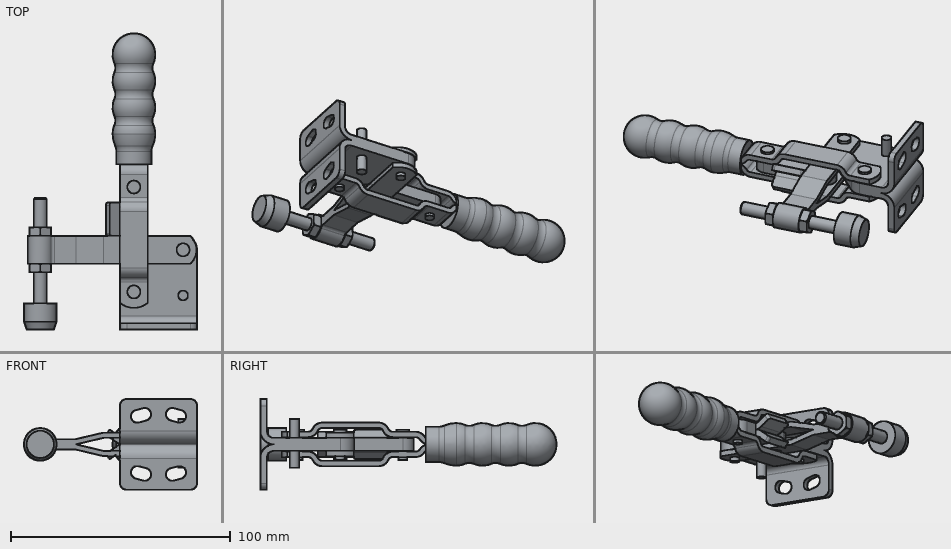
import cadquery as cq
import math


overall_length = 134.9
overall_width = 79.0
overall_height = 41.4

base_thickness = 3.0
handle_thickness = 2.5
arm_thickness = 2.4
handle_width = 12.8
arm_width = 12.7

base_pivot = (0.0, 17.1)
arm_pivot = (22.4, 36.3)
stop_pin_place = (arm_pivot[0], 15.5)
grip_joint = (0.0, 64.9)
arm_joint = (0.0, arm_pivot[1])

shank_diameter = 4.2
head_diameter = 6.0
head_top = 6.7
tail_length = 7.2
stop_pin_diameter = 4.5
stop_pin_low = -10.7
stop_pin_high = 11.6

hub_radius = handle_width / 2
base_left = -hub_radius
base_right = arm_pivot[0] + hub_radius
base_bend_radius = 6.2
flange_corner_radius = 3.1
slot_spacing = 15.9
slot_middle = 11.2
slot_height = 13.2
slot_width = 5.7
slot_travel = 3.5
slot_tilt = 15.0

handle_inner_low = 3.2
handle_inner_high = 7.4
handle_bend_radius = 2.3
handle_tip = 9.8
handle_tip_rise = 2.4
lower_bend_start = 21.7
upper_bend_start = 53.8
tang_bend_start = 70.7
tang_end = 89.0

grip_diameter = 19.5
grip_radius = grip_diameter / 2
grip_neck_fillet = 5.0
grip_bulb_spacing = 12.0
grip_bulb_count = 4
grip_collar_radius = 8.1
grip_collar_length = 6.1
grip_base_bulb_radius = 13.1
grip_collar_fillet = 6.0

arm_inner = base_thickness
arm_outer = arm_inner + arm_thickness
arm_split_start = -26.5
arm_split_end = -13.9
arm_tip = 28.5
arm_tip_rise = 2.7
eye_radius = 5.8
eye_fillet = 2.0

link_radius = 5.0
wing_root = -4.7
wing_angle = 35.0
wing_straight = 5.7
wing_low = arm_joint[1] + arm_width / 2
wing_high = 57.9
wing_bend_radius = 6.0
wing_corner_radius = 1.2

spindle_diameter = 6.0
spindle_top = 59.9
spindle_chamfer = 0.5
nut_across_flats = 10.0
nut_thickness = 3.9
nut_chamfer = 0.4
pad_diameter = 15.0
pad_face_diameter = 12.4
pad_height = 11.9
pad_taper_height = 3.6
spindle_x = base_right - overall_width + pad_diameter / 2


def both_halves(half):
    """Join a body half with its mirror image across Z = 0."""
    return half.union(half.mirror("XY"))


def cylinder(place, diameter, low, high):
    """Cylinder along Z between two heights."""
    return cq.Workplane("XY", origin=(*place, low)).circle(diameter / 2).extrude(high - low)


def pin(place, seat):
    """Pin whose head sits on the surface at height `seat`."""
    head = cylinder(place, head_diameter, seat, head_top)
    return cylinder(place, shank_diameter, -tail_length, seat).union(head)


def plan_prism(outline):
    """Extrude an XY outline through the whole height of the clamp."""
    return outline.close().extrude(overall_height / 2, both=True)


def s_bend(start, level, rise, first_radius, second_radius):
    """Inflection point and end point of two tangent arcs that change level."""
    radius_sum = first_radius + second_radius
    angle = math.acos(1 - abs(rise) / radius_sum)
    inflection_share = first_radius / radius_sum
    run = radius_sum * math.sin(angle)
    inflection = (start + run * inflection_share, level + rise * inflection_share)
    return inflection, (start + run, level + rise)


def make_base():
    inner_bend = base_bend_radius - base_thickness
    plate_top = arm_pivot[1] + hub_radius
    half_height = overall_height / 2
    diagonal = math.sqrt(0.5)
    outer_mid = base_bend_radius * (1 - diagonal)
    inner_mid = base_bend_radius - inner_bend * diagonal
    half = (
        cq.Workplane("YZ", origin=(base_left, 0, 0))
        .moveTo(plate_top, 0)
        .lineTo(base_bend_radius, 0)
        .threePointArc((outer_mid, outer_mid), (0, base_bend_radius))
        .lineTo(0, half_height)
        .lineTo(base_thickness, half_height)
        .lineTo(base_thickness, base_bend_radius)
        .threePointArc((inner_mid, inner_mid), (base_bend_radius, base_thickness))
        .lineTo(plate_top, base_thickness)
        .close()
        .extrude(base_right - base_left)
    )
    half = half.edges("|Y and >Z").fillet(flange_corner_radius)

    for side in (-1, 1):
        slot = (
            cq.Workplane("XZ", origin=(slot_middle + side * slot_spacing / 2, 0, slot_height))
            .transformed(rotate=(0, 0, -side * slot_tilt))
            .slot2D(slot_travel + slot_width, slot_width)
            .extrude(-base_thickness)
        )
        half = half.cut(slot)

    slope = math.atan2(arm_pivot[1] - base_pivot[1], arm_pivot[0] - base_pivot[0])
    offset = (-hub_radius * math.sin(slope), hub_radius * math.cos(slope))
    plan = plan_prism(
        cq.Workplane("XY")
        .moveTo(base_left, 0)
        .lineTo(base_left, base_pivot[1])
        .tangentArcPoint((base_pivot[0] + offset[0], base_pivot[1] + offset[1]), relative=False)
        .lineTo(arm_pivot[0] + offset[0], arm_pivot[1] + offset[1])
        .tangentArcPoint((base_right, arm_pivot[1]), relative=False)
        .lineTo(base_right, 0)
    )
    stop_pin = cylinder(stop_pin_place, stop_pin_diameter, stop_pin_low, stop_pin_high)
    handle_pin = pin(base_pivot, handle_inner_low + handle_thickness)
    arm_pin = pin(arm_pivot, arm_outer)
    return both_halves(half.intersect(plan)).union(stop_pin).union(handle_pin).union(arm_pin)


def make_handle():
    tight = handle_bend_radius
    wide = handle_bend_radius + handle_thickness
    rise = handle_inner_high - handle_inner_low
    low, high = handle_inner_low, handle_inner_high

    def face_bends(depth, concave, convex):
        """Bend points of one strap face, `depth` outside the inner face."""
        return (
            s_bend(lower_bend_start, low + depth, rise, concave, convex),
            s_bend(upper_bend_start, high + depth, -rise, convex, concave),
            s_bend(tang_bend_start, low + depth, -low, convex, concave),
        )

    starts = (lower_bend_start, upper_bend_start, tang_bend_start)
    levels = (low, high, low)
    strap = cq.Workplane("YZ").moveTo(handle_tip, low + handle_thickness)
    for start, level, (inflection, end) in zip(starts, levels, face_bends(handle_thickness, tight, wide)):
        strap = strap.lineTo(start, level + handle_thickness)
        strap = strap.tangentArcPoint(inflection, relative=False)
        strap = strap.tangentArcPoint(end, relative=False)
    strap = strap.lineTo(tang_end, handle_thickness).lineTo(tang_end, 0)
    inner_bends = face_bends(0, wide, tight)
    for start, level, (inflection, end) in reversed(list(zip(starts, levels, inner_bends))):
        strap = strap.lineTo(*end)
        strap = strap.tangentArcPoint(inflection, relative=False)
        strap = strap.tangentArcPoint((start, level), relative=False)
    strap = strap.lineTo(handle_tip, low).close().extrude(handle_width / 2, both=True)

    half_width = handle_width / 2
    plan = plan_prism(
        cq.Workplane("XY")
        .moveTo(-half_width, tang_end)
        .lineTo(-half_width, handle_tip + handle_tip_rise)
        .threePointArc((0, handle_tip), (half_width, handle_tip + handle_tip_rise))
        .lineTo(half_width, tang_end)
    )
    return both_halves(strap.intersect(plan))


def make_grip(handle):
    top_bulb = overall_length - grip_radius
    base_bulb = top_bulb - (grip_bulb_count - 1) * grip_bulb_spacing

    collar_drop = grip_radius - grip_collar_radius
    radius_sum = grip_base_bulb_radius + grip_collar_fillet
    angle = math.acos(1 - collar_drop / radius_sum)
    collar_top = base_bulb - radius_sum * math.sin(angle)
    grip_end = collar_top - grip_collar_length
    collar_bend = (
        grip_collar_radius + grip_collar_fillet * (1 - math.cos(angle)),
        collar_top + grip_collar_fillet * math.sin(angle),
    )
    profile = (
        cq.Workplane("XY")
        .moveTo(0, grip_end)
        .lineTo(grip_collar_radius, grip_end)
        .lineTo(grip_collar_radius, collar_top)
        .tangentArcPoint(collar_bend, relative=False)
        .tangentArcPoint((grip_radius, base_bulb), relative=False)
    )

    neck_angle = math.asin(grip_bulb_spacing / 2 / (grip_radius + grip_neck_fillet))
    bend_radius = grip_radius * math.cos(neck_angle)
    bend_offset = grip_radius * math.sin(neck_angle)
    for index in range(grip_bulb_count - 1):
        bulb = base_bulb + index * grip_bulb_spacing
        next_bulb = bulb + grip_bulb_spacing
        profile = profile.tangentArcPoint((bend_radius, bulb + bend_offset), relative=False)
        profile = profile.tangentArcPoint((bend_radius, next_bulb - bend_offset), relative=False)
        profile = profile.tangentArcPoint((grip_radius, next_bulb), relative=False)
    profile = profile.tangentArcPoint((0, overall_length), relative=False).close()
    return profile.revolve(360, (0, 0), (0, 1)).cut(handle)


def make_arm():
    centre_y = arm_joint[1]
    front_plane = cq.Workplane("XZ", origin=(0, centre_y, 0))
    bend_angle = math.atan2(arm_inner, arm_split_end - arm_split_start)
    inner_shift = arm_thickness * math.tan(bend_angle / 2)
    half = (
        front_plane
        .moveTo(spindle_x, 0)
        .lineTo(spindle_x, arm_thickness)
        .lineTo(arm_split_start, arm_thickness)
        .lineTo(arm_split_end, arm_outer)
        .lineTo(arm_tip, arm_outer)
        .lineTo(arm_tip, arm_inner)
        .lineTo(arm_split_end + inner_shift, arm_inner)
        .lineTo(arm_split_start + inner_shift, 0)
        .close()
        .extrude(arm_width / 2, both=True)
    )
    half_width = arm_width / 2
    plan = plan_prism(
        cq.Workplane("XY")
        .moveTo(spindle_x, centre_y - half_width)
        .lineTo(arm_tip - arm_tip_rise, centre_y - half_width)
        .threePointArc((arm_tip, centre_y), (arm_tip - arm_tip_rise, centre_y + half_width))
        .lineTo(spindle_x, centre_y + half_width)
    )
    eye = front_plane.center(spindle_x, 0).circle(eye_radius).extrude(half_width, both=True)
    arm = both_halves(half.intersect(plan)).union(eye)

    neck_x = spindle_x + math.sqrt(eye_radius ** 2 - arm_thickness ** 2)
    for side in (-1, 1):
        corner = (neck_x, centre_y, side * arm_thickness)
        arm = arm.edges(cq.selectors.NearestToPointSelector(corner)).fillet(eye_fillet)
    bore = front_plane.center(spindle_x, 0).circle(spindle_diameter / 2).extrude(half_width, both=True)
    return arm.cut(bore)


def make_wing():
    """Tab bent outwards from one link plate, above the arm."""
    angle = math.radians(wing_angle)
    inner_bend = wing_bend_radius - base_thickness

    def bend_point(radius, turn):
        return (wing_root - radius * math.sin(turn), wing_bend_radius - radius * math.cos(turn))

    reach = (-wing_straight * math.cos(angle), wing_straight * math.sin(angle))
    outward = cq.Vector(math.sin(angle), 0, math.cos(angle))
    wing = (
        cq.Workplane("XZ", origin=(0, wing_low, 0))
        .moveTo(0, 0)
        .lineTo(wing_root, 0)
        .threePointArc(bend_point(wing_bend_radius, angle / 2), bend_point(wing_bend_radius, angle))
        .line(*reach)
        .line(base_thickness * outward.x, base_thickness * outward.z)
        .lineTo(*bend_point(inner_bend, angle))
        .threePointArc(bend_point(inner_bend, angle / 2), (wing_root, base_thickness))
        .lineTo(0, base_thickness)
        .close()
        .extrude(wing_low - wing_high)
    )
    return wing.edges(cq.selectors.ParallelDirSelector(outward)).fillet(wing_corner_radius)


def make_link():
    length = grip_joint[1] - arm_joint[1]
    plate = (
        cq.Workplane("XY", origin=(0, arm_joint[1] + length / 2, 0))
        .slot2D(length + 2 * link_radius, 2 * link_radius, 90)
        .extrude(base_thickness)
    )
    handle_pin = pin(grip_joint, handle_inner_low + handle_thickness)
    arm_pin = pin(arm_joint, arm_outer).mirror("XY")
    return both_halves(plate.union(make_wing())).union(handle_pin).union(arm_pin)


def make_nut(low):
    across_corners = nut_across_flats / math.cos(math.radians(30))
    hexagon = (
        cq.Workplane("XZ", origin=(spindle_x, low, 0))
        .transformed(rotate=(0, 0, 90))
        .polygon(6, across_corners)
        .extrude(-nut_thickness)
    )
    rounding = (
        cq.Workplane("XZ", origin=(spindle_x, low, 0))
        .circle(across_corners / 2)
        .extrude(-nut_thickness)
        .edges()
        .chamfer(nut_chamfer)
    )
    return hexagon.intersect(rounding)


def make_spindle():
    """Spindle with its pad, held in the arm eye by two nuts."""
    radius = spindle_diameter / 2
    spindle = (
        cq.Workplane("XY", origin=(spindle_x, 0, 0))
        .lineTo(pad_face_diameter / 2, 0)
        .lineTo(pad_diameter / 2, pad_taper_height)
        .lineTo(pad_diameter / 2, pad_height)
        .lineTo(radius, pad_height)
        .lineTo(radius, spindle_top - spindle_chamfer)
        .lineTo(radius - spindle_chamfer, spindle_top)
        .lineTo(0, spindle_top)
        .close()
        .revolve(360, (0, 0), (0, 1))
    )
    eye_top = arm_joint[1] + arm_width / 2
    eye_bottom = arm_joint[1] - arm_width / 2
    for low in (eye_bottom - nut_thickness, eye_top):
        spindle = spindle.union(make_nut(low))
    return spindle


base = make_base()
link = make_link()
plain_handle = make_handle()
grip = make_grip(plain_handle)
handle = plain_handle.cut(base).cut(link)
arm = make_arm().cut(base).cut(link)
spindle = make_spindle()

bodies = (base, handle, grip, arm, link, spindle)
result = cq.Compound.makeCompound([body.solids().val() for body in bodies])